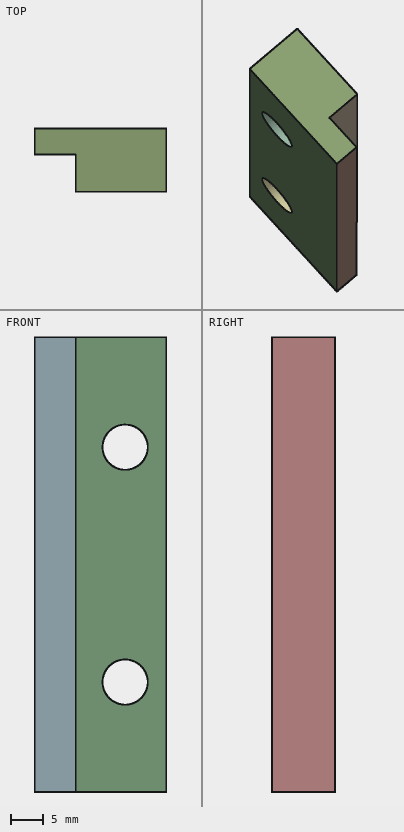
import cadquery as cq

width = 20.27
depth = 9.74
height = 69.85

step_width = 6.30
flange_thickness = 4.03

hole_diameter = 6.91
hole_from_right_edge = 6.35
hole_spacing = 36.07
lower_hole_height = (height - hole_spacing) / 2


def make_bar():
    """L-shaped section in X-Y, extruded upward."""
    flange_front = depth - flange_thickness
    return (
        cq.Workplane("XY")
        .moveTo(step_width, 0)
        .lineTo(width, 0)
        .lineTo(width, depth)
        .lineTo(0, depth)
        .lineTo(0, flange_front)
        .lineTo(step_width, flange_front)
        .close()
        .extrude(height)
    )


def make_hole(center_height):
    """Cylinder along Y through the full depth of the bar."""
    return (
        cq.Workplane("XZ")
        .center(width - hole_from_right_edge, center_height)
        .circle(hole_diameter / 2)
        .extrude(-depth)
    )


result = make_bar()
for center_height in (lower_hole_height, lower_hole_height + hole_spacing):
    result = result.cut(make_hole(center_height))